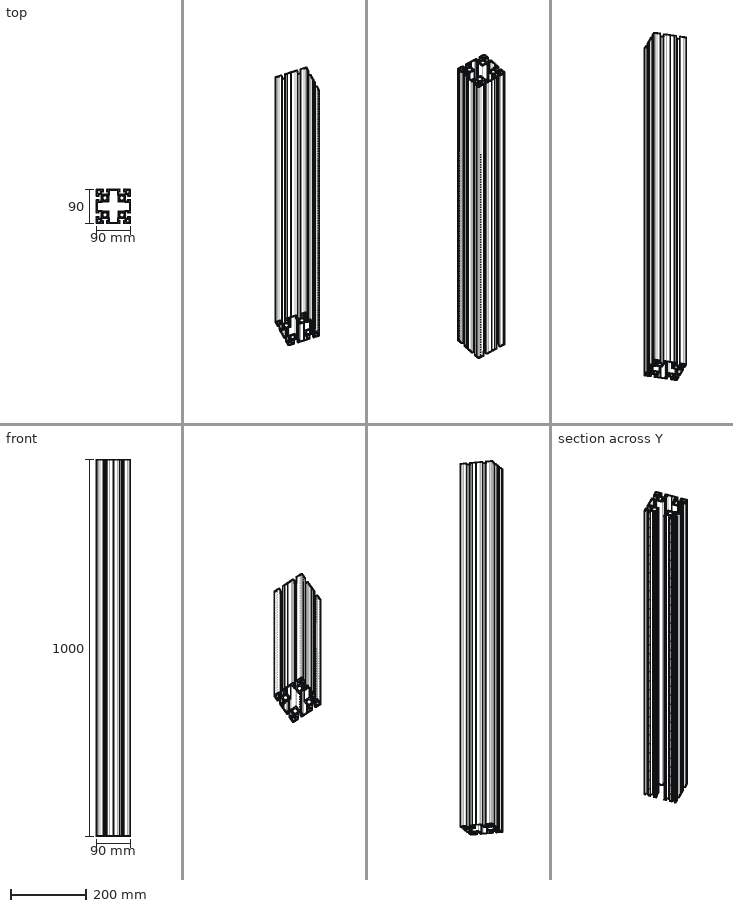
import cadquery as cq

width = 90.0
length = 1000.0
half_width = width / 2
corner_radius = 1.8

slot_offset = width / 4
slot_opening = 10.0
lip_depth = 6.5
lip_radius = 0.8
chamber_width = 20.0
slot_depth = 13.0
chamber_chamfer = 2.5

outer_wall = 1.5
arm_width = 22.0
core_gap = 26.0
core_span = 62.0
cavity_radius = 0.5

core_bore = 13.0
corner_void = 8.5
corner_wall = 2.3
corner_void_radius = 2.0

groove_width = 1.0
groove_depth = 0.5

QUARTER_TURNS = (0, 90, 180, 270)


def bar(size_x, size_y, x=0.0, y=0.0):
    """Full-length rectangular bar centred on (x, y)."""
    return cq.Workplane("XY").center(x, y).rect(size_x, size_y).extrude(length)


def groove(x, surface_y):
    """Full-length V-groove cut into a surface facing -Y."""
    corners = [
        (x - groove_width / 2, surface_y),
        (x + groove_width / 2, surface_y),
        (x, surface_y + groove_depth),
    ]
    return cq.Workplane("XY").polyline(corners).close().extrude(length)


def slot_mouth(x):
    """Narrow mouth of a T-slot, flaring with rounded lip edges at its outer and inner ends."""
    outer_y = -half_width
    inner_y = outer_y + lip_depth
    wall = slot_opening / 2
    flare = wall + lip_radius
    arc_inset = lip_radius * (1 - 0.5**0.5)
    outline = (
        cq.Workplane("XY")
        .moveTo(x - flare, outer_y)
        .lineTo(x + flare, outer_y)
        .threePointArc((x + wall + arc_inset, outer_y + arc_inset), (x + wall, outer_y + lip_radius))
        .lineTo(x + wall, inner_y - lip_radius)
        .threePointArc((x + wall + arc_inset, inner_y - arc_inset), (x + flare, inner_y))
        .lineTo(x - flare, inner_y)
        .threePointArc((x - wall - arc_inset, inner_y - arc_inset), (x - wall, inner_y - lip_radius))
        .lineTo(x - wall, outer_y + lip_radius)
        .threePointArc((x - wall - arc_inset, outer_y + arc_inset), (x - flare, outer_y))
        .close()
    )
    return outline.extrude(length)


def t_slot(x):
    """T-slot open towards -Y, with a chamfered chamber and a marking groove in its floor."""
    chamber_depth = slot_depth - lip_depth
    chamber = bar(chamber_width, chamber_depth, x, -half_width + lip_depth + chamber_depth / 2)
    chamber = chamber.edges("|Z and >Y").chamfer(chamber_chamfer)
    return slot_mouth(x).union(chamber).union(groove(x, -half_width + slot_depth))


def side_cuts():
    """Everything cut into the -Y side: two T-slots and the middle marking groove."""
    return t_slot(-slot_offset).union(t_slot(slot_offset)).union(groove(0, -half_width))


def central_cavity():
    """Cross-shaped hollow: wide between the cores, narrower towards the outer walls."""
    arm_length = width - 2 * outer_wall
    cavity = bar(arm_width, arm_length).union(bar(arm_length, arm_width))
    cavity = cavity.union(bar(core_gap, core_span)).union(bar(core_span, core_gap))
    return cavity.edges("|Z").fillet(cavity_radius)


def square_grid(offset):
    """Four points, each at the given distance from both centre planes."""
    spacing = 2 * offset
    return cq.Workplane("XY").rarray(spacing, spacing, 2, 2)


def core_bores():
    """Round bores on the crossings of the slot centre lines."""
    return square_grid(slot_offset).circle(core_bore / 2).extrude(length)


def corner_voids():
    """Rounded square voids that hollow out the corners."""
    offset = half_width - corner_wall - corner_void / 2
    voids = square_grid(offset).rect(corner_void, corner_void).extrude(length)
    return voids.edges("|Z").fillet(corner_void_radius)


profile = bar(width, width).edges("|Z").fillet(corner_radius)

slots = side_cuts()
for angle in QUARTER_TURNS:
    profile = profile.cut(slots.rotate((0, 0, 0), (0, 0, 1), angle))

result = profile.cut(central_cavity()).cut(core_bores()).cut(corner_voids())